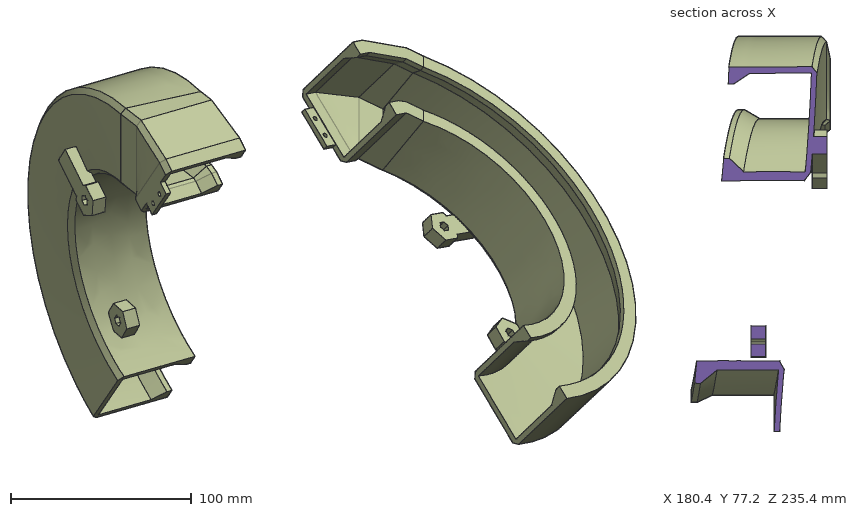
import math
import cadquery as cq

outer_radius = 130.0
inner_radius = 81.0
edge_chamfer = 3.0
wind_angle = 143.0
helix_pitch = 65.0
axial_depth = 49.1
end_offset = 2.6
overrun_angle = 4.0
quarter_turn = 90.0
full_turn = 360.0

wall = 3.3
lip_width = 5.0
lip_depth = 3.3
lip_taper = 8.5
open_back = 1.0

neck_end = 14.2
straight_depth = 48.7
end_depth = 50.8
end_tilt = 180.0 - wind_angle
hinge_gap = 0.5
end_thickness = 7.9

tab_width = 25.0
tab_length = 7.5
tab_thickness = 3.0
tab_hole_diameter = 2.6
tab_hole_spacing = 11.2

boss_radius = 9.9
boss_thickness = 8.3
boss_hole_radius = 3.1
upper_boss_center = (-40.6, 55.4)
upper_boss_front = -49.0
upper_boss_angle = 144.0
arm_width = 12.4
arm_length = 30.0
lower_boss_center = (-61.4, -39.1)
lower_boss_front = -15.0
lower_boss_angle = -4.0

margin = 400.0


def outer_section(depth):
    """Solid (radius, Y) outline of the band: back at zero, chamfered front at -depth."""
    return [
        (inner_radius, 0),
        (outer_radius, 0),
        (outer_radius, edge_chamfer - depth),
        (outer_radius - edge_chamfer, -depth),
        (inner_radius + edge_chamfer, -depth),
        (inner_radius, edge_chamfer - depth),
    ]


def chamber_section(depth):
    """Cavity section: a chamber under two tapered lips, open at the back."""
    chamber_inner = inner_radius + wall
    chamber_outer = outer_radius - wall
    slot_inner = chamber_inner + lip_width
    slot_outer = chamber_outer - lip_width
    taper_end = -lip_depth - lip_taper
    return [
        (slot_inner, open_back),
        (slot_outer, open_back),
        (slot_outer, -lip_depth),
        (chamber_outer, taper_end),
        (chamber_outer, wall - depth),
        (chamber_inner, wall - depth),
        (chamber_inner, taper_end),
        (slot_inner, -lip_depth),
    ]


def wind(section, start, stop):
    """Wind a (radius, Y) section about the Y axis between two winding angles."""
    rise = helix_pitch * (stop - start) / full_turn
    path = cq.Wire.makeHelix(helix_pitch, rise, outer_radius, lefthand=True)
    solid = cq.Workplane("XZ").polyline(section).close().sweep(cq.Workplane(path), isFrenet=True)
    lead = math.degrees(math.asin(end_offset / outer_radius))
    start_y = helix_pitch * (start + lead) / full_turn
    solid = solid.rotate((0, 0, 0), (1, 0, 0), -quarter_turn)
    solid = solid.rotate((0, 0, 0), (0, 1, 0), -(quarter_turn + start))
    return solid.translate((0, start_y, 0))


def start_side():
    """Everything on the +X side of the slanted plane where winding meets the neck."""
    slope = 2 * end_offset / straight_depth
    return (
        cq.Workplane("XY")
        .polyline([
            (end_offset + slope * margin, margin),
            (margin, margin),
            (margin, -margin),
            (end_offset - slope * margin, -margin),
        ])
        .close()
        .extrude(margin)
    )


def beyond_lower_end():
    """Everything past the flat lower end of the ring."""
    block = cq.Workplane("XY").box(margin, margin, margin, centered=(True, True, False))
    block = block.translate((-end_offset - margin / 2, 0, 0))
    return block.rotate((0, 0, 0), (0, 1, 0), -wind_angle)


def neck_plane():
    """Plane across the outer end of the neck; local x runs along Z, local y along Y."""
    return cq.Plane(origin=(neck_end, 0, 0), xDir=(0, 0, 1), normal=(-1, 0, 0))


def end_plane():
    """Plane across the start of the tilted end block, with local x measured as a radius."""
    tilt = math.radians(end_tilt)
    across = (math.sin(tilt), 0, math.cos(tilt))
    ahead = (math.cos(tilt), 0, -math.sin(tilt))
    origin = (
        neck_end + hinge_gap * ahead[0] - inner_radius * across[0],
        0,
        inner_radius + hinge_gap * ahead[2] - inner_radius * across[2],
    )
    return cq.Plane(origin=origin, xDir=across, normal=(-ahead[0], 0, -ahead[2]))


def extrude_on(plane, section, distance):
    """Extrude a section from a plane, a positive distance leading towards the ring."""
    return cq.Workplane(plane).polyline(section).close().extrude(distance)


def blend(neck_section, end_section):
    """Ruled transition from a section at the neck to a section at the end block."""
    wires = [
        cq.Workplane(neck_plane()).polyline(neck_section).close().val(),
        cq.Workplane(end_plane()).polyline(end_section).close().val(),
    ]
    return cq.Workplane(cq.Solid.makeLoft(wires, True))


def band(section_at):
    """Sweep a depth-dependent section through ring, neck, transition and end block."""
    neck_section = section_at(straight_depth)
    end_section = section_at(end_depth)
    side = start_side()
    ring = wind(section_at(axial_depth), -overrun_angle, wind_angle + overrun_angle)
    ring = ring.cut(side).cut(beyond_lower_end())
    neck = extrude_on(neck_plane(), neck_section, neck_end + 2 * end_offset).intersect(side)
    end_block = extrude_on(end_plane(), end_section, -end_thickness)
    return ring.union(neck).union(blend(neck_section, end_section)).union(end_block)


def tab():
    """Flat tab with two holes, level with the front of the end block and rooted in it by one wall."""
    middle = (inner_radius + outer_radius) / 2
    plate = (
        cq.Workplane("XY")
        .box(tab_width, tab_thickness, tab_length + wall, centered=(True, False, False))
        .translate((0, 0, -wall))
        .faces("<Y")
        .workplane(origin=(0, 0, tab_length / 2))
        .pushPoints([(-tab_hole_spacing / 2, 0), (tab_hole_spacing / 2, 0)])
        .hole(tab_hole_diameter)
    )
    root = end_plane().toWorldCoords((middle, -end_depth, -end_thickness))
    return plate.rotate((0, 0, 0), (0, 1, 0), quarter_turn + end_tilt).translate(root)


def hexagonal_prism(corner_radius):
    """Hexagon with one corner along +X, running the thickness of a boss along +Y."""
    return cq.Workplane("XZ").polygon(6, 2 * corner_radius).extrude(-boss_thickness)


def boss(center, front, vertex_angle, arm=0.0):
    """Hexagonal boss with a hexagonal through hole and an optional arm along one vertex direction."""
    body = hexagonal_prism(boss_radius)
    if arm:
        bar = cq.Workplane("XZ").rect(arm, arm_width).extrude(-boss_thickness)
        body = body.union(bar.translate((arm / 2, 0, 0)))
    body = body.cut(hexagonal_prism(boss_hole_radius))
    body = body.rotate((0, 0, 0), (0, 1, 0), -vertex_angle)
    return body.translate((center[0], front, center[1]))


result = (
    band(outer_section)
    .cut(band(chamber_section))
    .union(tab())
    .union(boss(upper_boss_center, upper_boss_front, upper_boss_angle, arm_length))
    .union(boss(lower_boss_center, lower_boss_front, lower_boss_angle))
)